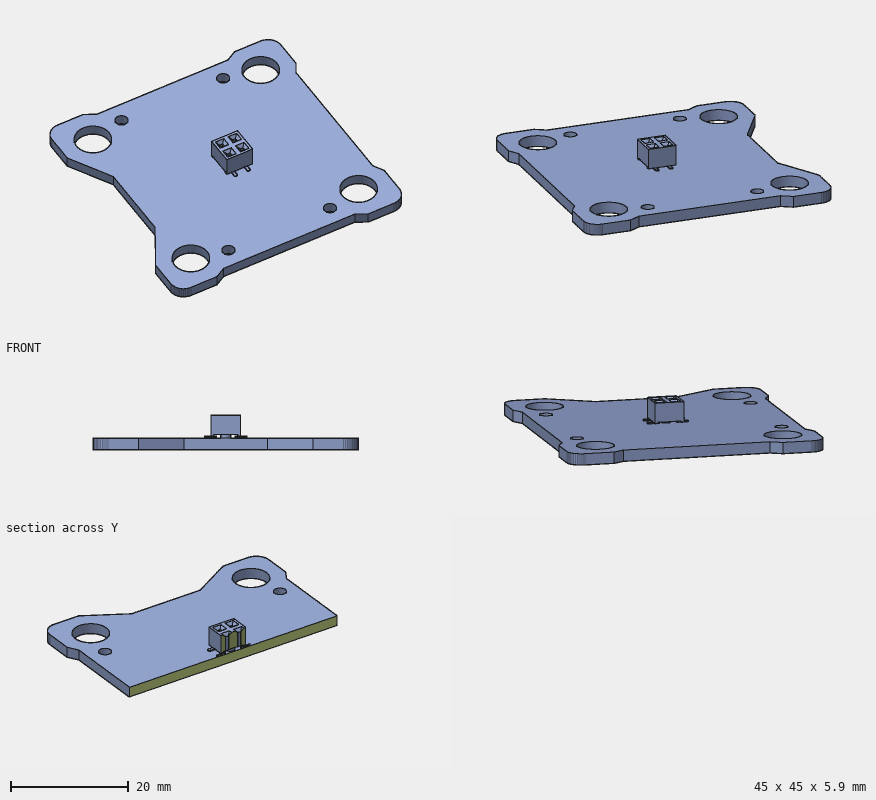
import cadquery as cq
import math

BOARD_SIZE = 45.0
BOARD_THICKNESS = 2.0
CORNER_RADIUS = 2.5
CORNER_FACETS = 12
CORNER_PAD_LENGTH = 7.65
EDGE_RECESS = 1.12
FRONT_RECESS = 4.5
RECESS_ANGLE = 30.0

MOUNTING_HOLE_DIAMETER = 6.4
MOUNTING_HOLE_SPACING = 33.0
SMALL_HOLE_DIAMETER = 2.2
SMALL_HOLE_SPACING_X = 36.0
SMALL_HOLE_SPACING_Y = 20.0

PITCH = 2.5
HEADER_Y = PITCH / 2
HOUSING_WIDTH = 5.1
HOUSING_TOP = 5.9
HOUSING_GAP = 0.35
CHANNEL_WIDTH = 4.0
CHANNEL_DEPTH = 0.22
PEG_DIAMETER = 1.7

SOCKET_MOUTH = 1.65
SOCKET_HOLE = 0.6
FUNNEL_DEPTH = 0.55

CONTACT_WIDTH = SOCKET_HOLE
CONTACT_THICKNESS = 0.2
CONTACT_TIP_X = 3.6
CONTACT_CHAMFER = 0.15

HOUSING_BOTTOM = BOARD_THICKNESS + HOUSING_GAP
SOCKET_CENTERS = [(sx * PITCH / 2, HEADER_Y + sy * PITCH / 2) for sx in (-1, 1) for sy in (-1, 1)]


def edge_recess(depth):
    """Cutter for one recess with sloped ends, along the back (+Y) edge of the board."""
    half_board = BOARD_SIZE / 2
    half_outer = half_board - CORNER_PAD_LENGTH
    half_inner = half_outer - depth / math.tan(math.radians(RECESS_ANGLE))
    outline = [
        (-half_outer, half_board),
        (-half_inner, half_board - depth),
        (half_inner, half_board - depth),
        (half_outer, half_board),
    ]
    return cq.Workplane("XY").polyline(outline).close().extrude(BOARD_THICKNESS)


def faceted_square():
    """Corner points of the board square, with every corner rounded in equal flat facets."""
    corner_center = BOARD_SIZE / 2 - CORNER_RADIUS
    points = []
    for corner, (side_x, side_y) in enumerate([(1, 1), (-1, 1), (-1, -1), (1, -1)]):
        for facet in range(CORNER_FACETS + 1):
            angle = math.radians(90 * (corner + facet / CORNER_FACETS))
            x = side_x * corner_center + CORNER_RADIUS * math.cos(angle)
            y = side_y * corner_center + CORNER_RADIUS * math.sin(angle)
            points.append((x, y))
    return points


def drill_rectangle(board, diameter, spacing_x, spacing_y):
    """Drill four through holes at the corners of a centered rectangle."""
    holes = cq.Workplane("XY").rect(spacing_x, spacing_y, forConstruction=True).vertices()
    return board.cut(holes.circle(diameter / 2).extrude(BOARD_THICKNESS))


def make_board():
    """Square board with rounded corners, recessed edges and eight through holes."""
    board = cq.Workplane("XY").polyline(faceted_square()).close().extrude(BOARD_THICKNESS)
    for turn, depth in ((0, EDGE_RECESS), (90, EDGE_RECESS), (180, FRONT_RECESS), (270, EDGE_RECESS)):
        board = board.cut(edge_recess(depth).rotate((0, 0, 0), (0, 0, 1), turn))
    board = drill_rectangle(board, MOUNTING_HOLE_DIAMETER, MOUNTING_HOLE_SPACING, MOUNTING_HOLE_SPACING)
    return drill_rectangle(board, SMALL_HOLE_DIAMETER, SMALL_HOLE_SPACING_X, SMALL_HOLE_SPACING_Y)


def make_housing():
    """Block with four funnel-mouthed sockets, a channel underneath and a round peg down to the board."""
    header = cq.Workplane("XY", origin=(0, HEADER_Y, HOUSING_BOTTOM))
    housing = header.rect(HOUSING_WIDTH, HOUSING_WIDTH).extrude(HOUSING_TOP - HOUSING_BOTTOM)

    channel = header.rect(CHANNEL_WIDTH, HOUSING_WIDTH).extrude(CHANNEL_DEPTH)
    housing = housing.cut(channel)

    funnel_angle = math.degrees(math.atan2((SOCKET_MOUTH - SOCKET_HOLE) / 2, FUNNEL_DEPTH))
    sockets = cq.Workplane("XY", origin=(0, 0, HOUSING_TOP)).pushPoints(SOCKET_CENTERS)
    funnels = sockets.rect(SOCKET_MOUTH, SOCKET_MOUTH).extrude(-FUNNEL_DEPTH, taper=funnel_angle)
    holes = sockets.rect(SOCKET_HOLE, SOCKET_HOLE).extrude(HOUSING_BOTTOM - HOUSING_TOP)
    housing = housing.cut(funnels).cut(holes)

    peg = (
        cq.Workplane("XY", origin=(0, HEADER_Y, BOARD_THICKNESS))
        .circle(PEG_DIAMETER / 2)
        .extrude(HOUSING_GAP + CHANNEL_DEPTH)
    )
    return housing.union(peg)


def make_contact(socket_x, socket_y):
    """Bar from the outer side of a socket hole to its tip, hung under the housing."""
    side = math.copysign(1, socket_x)
    inner_x = PITCH / 2 + SOCKET_HOLE / 2
    length = CONTACT_TIP_X - inner_x
    bar = cq.Workplane("XY", origin=(side * (inner_x + length / 2), socket_y, HOUSING_BOTTOM))
    bar = bar.rect(length, CONTACT_WIDTH).extrude(-CONTACT_THICKNESS)
    tip_edges = "|Z and >X" if side > 0 else "|Z and <X"
    return bar.edges(tip_edges).chamfer(CONTACT_CHAMFER)


board = make_board()
housing = make_housing()
contacts = [make_contact(x, y) for x, y in SOCKET_CENTERS]

result = cq.Compound.makeCompound(
    [board.val(), housing.val(), *[contact.val() for contact in contacts]]
)